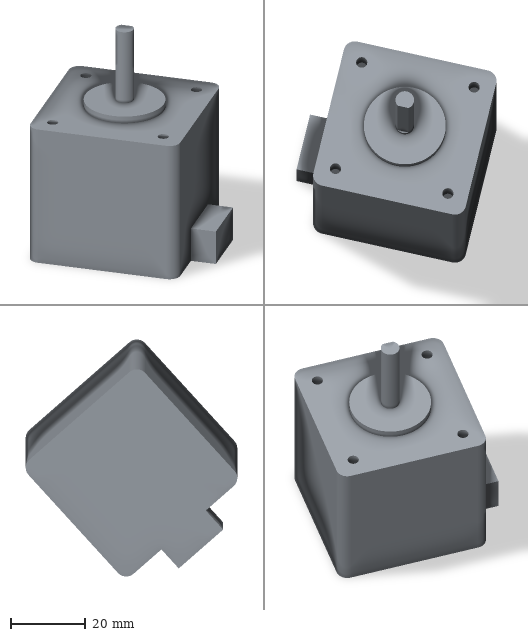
import cadquery as cq

BODY_SIDE = 42.0
BODY_HEIGHT = 39.5
BODY_CORNER_RADIUS = 3.0

PILOT_DIAMETER = 22.0
PILOT_HEIGHT = 2.0

SHAFT_DIAMETER = 5.0
SHAFT_LENGTH = 21.0
FLAT_DEPTH = 0.5
FLAT_START = 1.0

HOLE_DIAMETER = 3.0
HOLE_SPACING = 31.0
HOLE_DEPTH = 4.5

CONNECTOR_LENGTH = 7.0
CONNECTOR_WIDTH = 16.0
CONNECTOR_HEIGHT = 9.6

PILOT_TOP = BODY_HEIGHT + PILOT_HEIGHT


def make_body():
    """Rounded square prism with the four mounting holes in its top face."""
    body = (
        cq.Workplane("XY")
        .rect(BODY_SIDE, BODY_SIDE)
        .extrude(BODY_HEIGHT)
        .edges("|Z")
        .fillet(BODY_CORNER_RADIUS)
    )
    return (
        body.faces(">Z")
        .workplane()
        .rect(HOLE_SPACING, HOLE_SPACING, forConstruction=True)
        .vertices()
        .hole(HOLE_DIAMETER, HOLE_DEPTH)
    )


def make_pilot():
    """Disc centred on the mounting face."""
    return cq.Workplane("XY", origin=(0, 0, BODY_HEIGHT)).circle(PILOT_DIAMETER / 2).extrude(PILOT_HEIGHT)


def make_shaft():
    """Round shaft, cut flat on the +Y side from just above the pilot boss to the tip."""
    shaft = cq.Workplane("XY", origin=(0, 0, PILOT_TOP)).circle(SHAFT_DIAMETER / 2).extrude(SHAFT_LENGTH)
    flat_y = SHAFT_DIAMETER / 2 - FLAT_DEPTH
    flat_cut = (
        cq.Workplane("XY", origin=(0, flat_y, PILOT_TOP + FLAT_START))
        .box(SHAFT_DIAMETER, SHAFT_DIAMETER, SHAFT_LENGTH, centered=(True, False, False))
    )
    return shaft.cut(flat_cut)


def make_connector():
    """Rectangular block standing out from the +X face."""
    return (
        cq.Workplane("XY", origin=(BODY_SIDE / 2, 0, 0))
        .box(CONNECTOR_LENGTH, CONNECTOR_WIDTH, CONNECTOR_HEIGHT, centered=(False, True, False))
    )


result = make_body().union(make_pilot()).union(make_shaft()).union(make_connector())